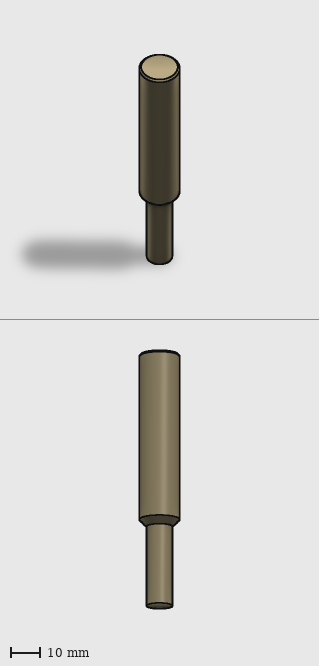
import cadquery as cq

total_length = 89.0
handle_diameter = 14.0
shank_diameter = 9.0
shank_length = 28.0
end_chamfer = 0.7

collar_height = (handle_diameter - shank_diameter) / 2
handle_bottom = shank_length + collar_height
handle_length = total_length - handle_bottom


def make_shank():
    """Plain slim cylinder at the lower end."""
    return cq.Workplane("XY").circle(shank_diameter / 2).extrude(shank_length)


def make_collar():
    """Cone that widens from the shank to the handle."""
    return cq.Workplane(
        cq.Solid.makeCone(
            shank_diameter / 2,
            handle_diameter / 2,
            collar_height,
            pnt=cq.Vector(0, 0, shank_length),
        )
    )


def make_handle():
    """Thick cylinder with a chamfered upper rim."""
    return (
        cq.Workplane("XY")
        .workplane(offset=handle_bottom)
        .circle(handle_diameter / 2)
        .extrude(handle_length)
        .faces(">Z")
        .chamfer(end_chamfer)
    )


shank = make_shank()
collar = make_collar()
handle = make_handle()

result = cq.Compound.makeCompound([shank.val(), collar.val(), handle.val()])